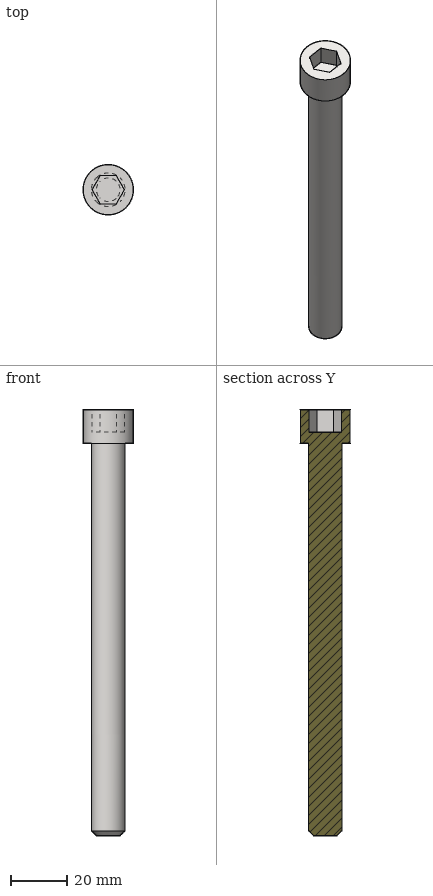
import cadquery as cq
import math

thread_diameter = 12.0
shank_length = 140.0
thread_length = 36.0
head_diameter = 1.5 * thread_diameter
head_height = thread_diameter
socket_across_flats = 10.0
socket_depth = 8.0
tip_chamfer = 1.8

plain_length = shank_length - thread_length
socket_across_corners = socket_across_flats / math.cos(math.radians(30))


def cylinder(diameter, bottom, top):
    """Solid cylinder on the screw axis between two heights."""
    return cq.Workplane("XY").workplane(offset=bottom).circle(diameter / 2).extrude(top - bottom)


head = cylinder(head_diameter, 0, head_height)
plain_shank = cylinder(thread_diameter, -plain_length, 0)
threaded_end = cylinder(thread_diameter, -shank_length, -plain_length)
threaded_end = threaded_end.faces("<Z").chamfer(tip_chamfer)

socket = (
    cq.Workplane("XY")
    .workplane(offset=head_height)
    .polygon(6, socket_across_corners)
    .extrude(-socket_depth)
)

screw = head.cut(socket)
result = screw.union(plain_shank, clean=False).union(threaded_end, clean=False)